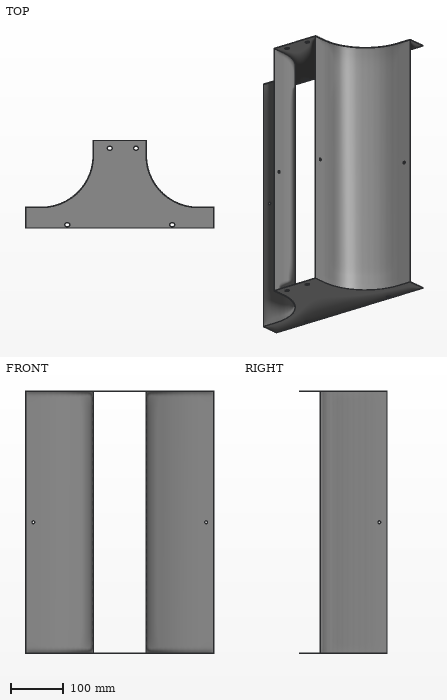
import cadquery as cq
import math

height = 501.0
width = 360.0
depth = 168.0
sheet = 1.0

neck_half = 51.0
arm_depth = 40.0
half_width = width / 2
arc_radius = 98.5

slot_length = 9.0
slot_width = 7.0
neck_slot_spacing = 50.0
neck_slot_shift = 6.0
neck_slot_inset = 15.0
arm_slot_x = 100.0
arm_slot_inset = 6.5
flange_hole = 5.0
flange_hole_inset = 15.0


def wall_path(offset):
    """Points of the right-hand wall, moved by offset into the T outline."""
    x = neck_half - offset
    y = arm_depth - offset
    center_x = neck_half + arc_radius
    center_y = arm_depth + arc_radius
    reach = (arc_radius + offset) * math.sqrt(0.5)
    return [
        (x, depth),
        (x, center_y),
        (center_x - reach, center_y - reach),
        (center_x, y),
        (half_width, y),
    ]


def end_plate(bottom):
    neck_top, arc_start, arc_mid, arc_end, arm_tip = wall_path(0)

    def mirrored(point):
        return (-point[0], point[1])

    plate = (
        cq.Workplane("XY", origin=(0, 0, bottom))
        .moveTo(*neck_top)
        .lineTo(*arc_start)
        .threePointArc(arc_mid, arc_end)
        .lineTo(*arm_tip)
        .lineTo(half_width, 0)
        .lineTo(-half_width, 0)
        .lineTo(*mirrored(arm_tip))
        .lineTo(*mirrored(arc_end))
        .threePointArc(mirrored(arc_mid), mirrored(arc_start))
        .lineTo(*mirrored(neck_top))
        .close()
        .extrude(sheet)
    )
    slot_centers = [
        point
        for side in (-1, 1)
        for point in (
            (neck_slot_shift + side * neck_slot_spacing / 2, depth - neck_slot_inset),
            (side * arm_slot_x, arm_slot_inset),
        )
    ]
    slots = (
        cq.Workplane("XY", origin=(0, 0, bottom))
        .pushPoints(slot_centers)
        .slot2D(slot_length, slot_width)
        .extrude(sheet)
    )
    return plate.cut(slots)


def curved_wall():
    """Right-hand wall, full height, with a hole in each flat flange."""
    outer = wall_path(0)
    inner = wall_path(sheet)
    wall = (
        cq.Workplane("XY")
        .moveTo(*outer[0])
        .lineTo(*outer[1])
        .threePointArc(outer[2], outer[3])
        .lineTo(*outer[4])
        .lineTo(*inner[4])
        .lineTo(*inner[3])
        .threePointArc(inner[2], inner[1])
        .lineTo(*inner[0])
        .close()
        .extrude(height)
    )
    radius = flange_hole / 2
    arm_hole = cq.Solid.makeCylinder(
        radius,
        arm_depth,
        cq.Vector(half_width - flange_hole_inset, 0, height / 2),
        cq.Vector(0, 1, 0),
    )
    neck_hole = cq.Solid.makeCylinder(
        radius,
        neck_half,
        cq.Vector(0, depth - flange_hole_inset, height / 2),
        cq.Vector(1, 0, 0),
    )
    return wall.cut(cq.Workplane(arm_hole)).cut(cq.Workplane(neck_hole))


right_wall = curved_wall()
left_wall = right_wall.mirror("YZ")
result = (
    end_plate(0)
    .union(end_plate(height - sheet))
    .union(right_wall)
    .union(left_wall)
)